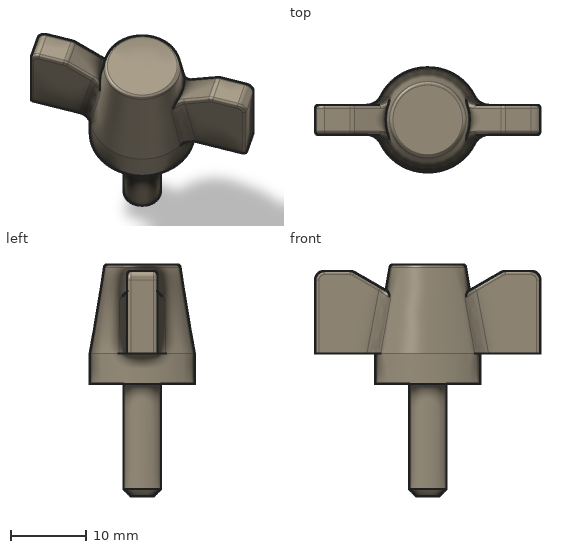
import cadquery as cq
import math

total_height = 30.87
collar_bottom = 14.97
wing_bottom = 19.0
wing_top = 30.0

collar_radius = 7.0
crown_radius = 5.03
crown_fillet = 0.45
stud_radius = 2.5
stud_chamfer = 1.0

wing_span = 30.0
wing_thickness = 4.0
flat_inner_x = 10.03
slope_angle = math.radians(30)
tip_radius = 1.25
bend_radius = 1.25
edge_fillet = 0.5
root_fillet = 2.0

margin = 0.15


def make_hub():
    """Tapered body above a cylindrical collar, with a rounded crown edge."""
    profile = (
        cq.Workplane("XZ")
        .moveTo(0, collar_bottom)
        .lineTo(collar_radius, collar_bottom)
        .lineTo(collar_radius, wing_bottom)
        .lineTo(crown_radius, total_height)
        .lineTo(0, total_height)
        .close()
    )
    hub = profile.revolve(360, (0, 0, 0), (0, 1, 0))
    return hub.faces(">Z").edges().fillet(crown_fillet)


def make_stud():
    """Plain stud with a chamfered tip, ending at the collar's underside."""
    stud = cq.Workplane("XY").circle(stud_radius).extrude(collar_bottom)
    return stud.faces("<Z").edges().chamfer(stud_chamfer)


def wing_outline(half_width):
    """Plate with the +X wing's outline, its top sloping down toward the axis."""
    tip_x = wing_span / 2
    axis_top = wing_top - flat_inner_x * math.tan(slope_angle)
    plate = (
        cq.Workplane("XZ")
        .moveTo(0, wing_bottom)
        .lineTo(tip_x, wing_bottom)
        .lineTo(tip_x, wing_top)
        .lineTo(flat_inner_x, wing_top)
        .lineTo(0, axis_top)
        .close()
        .extrude(half_width, both=True)
    )
    bend = cq.selectors.NearestToPointSelector((flat_inner_x, 0, wing_top))
    plate = plate.edges("|Y").edges(bend).fillet(bend_radius)
    tip = cq.selectors.NearestToPointSelector((tip_x, 0, wing_top))
    return plate.edges("|Y").edges(tip).fillet(tip_radius)


def make_wing(hub):
    """+X wing with the part of the hub below its top, blended and edge-rounded."""
    half_thickness = wing_thickness / 2
    mid_height = (wing_bottom + wing_top) / 2
    blended = hub.union(wing_outline(half_thickness))
    root_edges = cq.selectors.BoxSelector(
        (0, -half_thickness - margin, wing_bottom + margin),
        (collar_radius, half_thickness + margin, mid_height),
    )
    blended = blended.edges(root_edges).fillet(root_fillet)
    wing = blended.intersect(wing_outline(collar_radius + margin))
    return wing.faces(">X").edges("|Z").fillet(edge_fillet)


hub = make_hub()
right_wing = make_wing(hub)
left_wing = right_wing.mirror("YZ")
result = hub.union(right_wing).union(left_wing).union(make_stud())